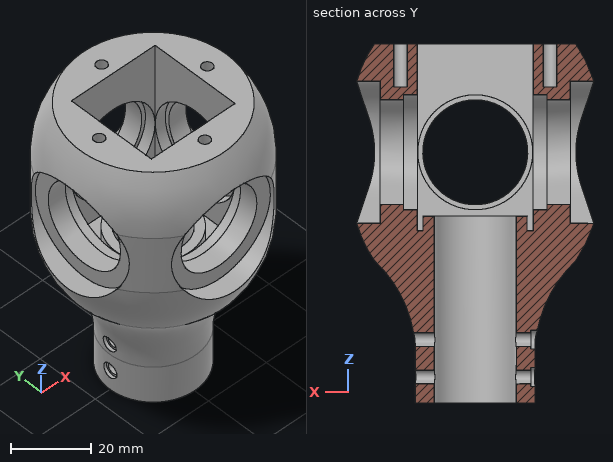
import cadquery as cq
import math

TOTAL_HEIGHT = 89.8
BODY_RADIUS = 30.8
BAND_HEIGHT = 18.9
TOP_FACE_RADIUS = 25.2
STEM_RADIUS = 15.0
STEM_HEIGHT = 12.2

CAVITY_WIDTH = 28.9
BORE_DIAMETER = 26.1
WINDOW_RECESS_DIAMETER = 35.5
WINDOW_FACE_OFFSET = 23.8
RELIEF_DIAMETER = 28.75
RELIEF_FACE_OFFSET = 17.9

FLOOR_DEPTH = 46.7
COLLAR_HEIGHT = 3.7
STEM_BORE_DIAMETER = 20.5

TOP_HOLE_DIAMETER = 3.3
TOP_HOLE_OFFSET = 18.7
TOP_HOLE_DEPTH = 10.8

SCREW_HEIGHTS = (6.6, 15.9)
SCREW_DIAMETER = 3.3
SCREW_HEAD_DIAMETER = 4.7
SCREW_SEAT_OFFSET = 13.9

cap_height = math.sqrt(BODY_RADIUS**2 - TOP_FACE_RADIUS**2)
upper_band_z = TOTAL_HEIGHT - cap_height
lower_band_z = upper_band_z - BAND_HEIGHT
body_bottom_z = lower_band_z - cap_height
window_z = (upper_band_z + lower_band_z) / 2
floor_z = TOTAL_HEIGHT - FLOOR_DEPTH


def cylinder(diameter, length, start, direction):
    return cq.Workplane(
        cq.Solid.makeCylinder(diameter / 2, length, cq.Vector(*start), cq.Vector(*direction))
    )


def outer_body():
    """Capsule body flowing through a concave neck into the round stem."""
    cap_mid_r = BODY_RADIUS * math.cos(math.asin(cap_height / BODY_RADIUS) / 2)
    cap_mid_rise = math.sqrt(BODY_RADIUS**2 - cap_mid_r**2)
    return (
        cq.Workplane("XZ")
        .lineTo(STEM_RADIUS, 0)
        .lineTo(STEM_RADIUS, STEM_HEIGHT)
        .tangentArcPoint((TOP_FACE_RADIUS, body_bottom_z), relative=False)
        .threePointArc((cap_mid_r, lower_band_z - cap_mid_rise), (BODY_RADIUS, lower_band_z))
        .lineTo(BODY_RADIUS, upper_band_z)
        .threePointArc((cap_mid_r, upper_band_z + cap_mid_rise), (TOP_FACE_RADIUS, TOTAL_HEIGHT))
        .lineTo(0, TOTAL_HEIGHT)
        .close()
        .revolve(360, (0, 0), (0, 1))
    )


def central_cavity():
    """Square well from the top, with a bored collar on its floor above the stem bore."""
    well = (
        cq.Workplane("XY", origin=(0, 0, floor_z))
        .rect(CAVITY_WIDTH, CAVITY_WIDTH)
        .extrude(FLOOR_DEPTH)
    )
    collar = cylinder(BORE_DIAMETER, COLLAR_HEIGHT, (0, 0, floor_z), (0, 0, 1))
    stem_bore = cylinder(STEM_BORE_DIAMETER, floor_z + COLLAR_HEIGHT, (0, 0, 0), (0, 0, 1))
    return well.cut(collar).union(stem_bore)


def window():
    """Side window on +X: outer recess, through bore and wider inner relief."""
    center = (0, 0, window_z)
    face = (WINDOW_FACE_OFFSET, 0, window_z)
    bore = cylinder(BORE_DIAMETER, BODY_RADIUS, center, (1, 0, 0))
    recess = cylinder(WINDOW_RECESS_DIAMETER, BODY_RADIUS, face, (1, 0, 0))
    relief = cylinder(RELIEF_DIAMETER, RELIEF_FACE_OFFSET, center, (1, 0, 0))
    return bore.union(recess).union(relief)


def top_hole():
    start = (TOP_HOLE_OFFSET, 0, TOTAL_HEIGHT - TOP_HOLE_DEPTH)
    return cylinder(TOP_HOLE_DIAMETER, TOP_HOLE_DEPTH, start, (0, 0, 1))


def screw_hole(height):
    """Cross hole through the stem with a head counterbore on the -X side."""
    shank = cylinder(SCREW_DIAMETER, 2 * BODY_RADIUS, (-BODY_RADIUS, 0, height), (1, 0, 0))
    head_length = BODY_RADIUS - SCREW_SEAT_OFFSET
    head = cylinder(SCREW_HEAD_DIAMETER, head_length, (-BODY_RADIUS, 0, height), (1, 0, 0))
    return shank.union(head)


result = outer_body().cut(central_cavity())
for angle in (0, 90, 180, 270):
    for cutter in (window(), top_hole()):
        result = result.cut(cutter.rotate((0, 0, 0), (0, 0, 1), angle))
for height in SCREW_HEIGHTS:
    result = result.cut(screw_hole(height))